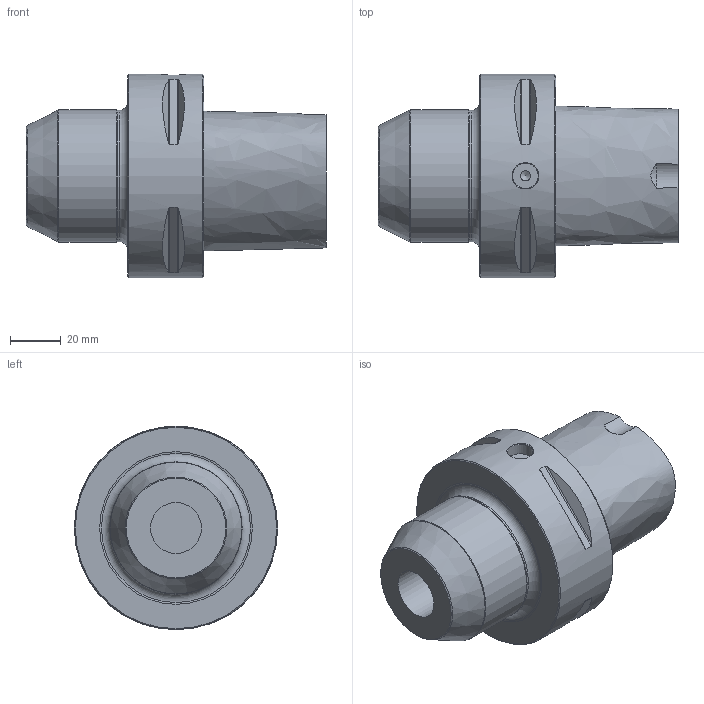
import math

import cadquery as cq


flange_diameter = 80.0
flange_length = 30.0
flange_chamfer = 0.4
nose_diameter = 52.0
nose_length = 40.0
nose_tip_diameter = 40.0
nose_taper_length = 12.75
nose_tip_chamfer = 0.4
nose_shoulder_radius = 0.8

undercut_depth = 0.1
undercut_radius = 3.4
undercut_nose_start = 4.4
nose_ramp_angle = 15.0
face_ramp_angle = 8.0

bore_diameter = 20.0
bore_depth = 51.0

shank_length = 48.0
shank_mean_diameter = 55.0
shank_eccentricity = 2.0
shank_taper = 1.0 / 20.0
shank_curve_points = 72

slot_count = 4
slot_first_angle = 45.0
slot_center_x = -12.0
slot_floor_distance = 35.65
slot_floor_width = 3.6
slot_wall_angle = 30.0
slot_corner_radius = 0.6
slot_mouth_clearance = 1.0

pocket_diameter = 10.0
pocket_depth = 5.0
pocket_chamfer = 0.25
dimple_diameter = 4.0
dimple_point_angle = 118.0

keyway_radius = 7.0
keyway_length = 8.4
keyway_axis_height = 29.3
keyway_end_angle = 45.0

flange_radius = flange_diameter / 2
nose_radius = nose_diameter / 2
flange_front_x = -flange_length
nose_front_x = flange_front_x - nose_length


def turned_body():
    """Nose, undercut and flange, revolved about X."""
    tip_radius = nose_tip_diameter / 2

    undercut_floor = nose_radius - undercut_depth
    undercut_face_x = flange_front_x + undercut_depth
    arc_center_x = undercut_face_x - undercut_radius
    arc_center_radius = undercut_floor + undercut_radius
    diagonal = undercut_radius * math.sqrt(0.5)

    nose_ramp_x = flange_front_x - undercut_nose_start
    nose_ramp_length = undercut_depth / math.tan(math.radians(nose_ramp_angle))
    face_ramp_height = undercut_depth / math.tan(math.radians(face_ramp_angle))

    taper_angle = math.atan2(nose_radius - tip_radius, nose_taper_length - nose_tip_chamfer)
    shoulder_center_radius = nose_radius - nose_shoulder_radius
    shoulder_end_x = nose_front_x + nose_taper_length + nose_shoulder_radius * math.tan(taper_angle / 2)

    def shoulder_point(angle):
        x = shoulder_end_x - nose_shoulder_radius * math.sin(angle)
        return x, shoulder_center_radius + nose_shoulder_radius * math.cos(angle)

    return (
        cq.Workplane("XY")
        .moveTo(nose_front_x, 0)
        .lineTo(nose_front_x, tip_radius - nose_tip_chamfer)
        .lineTo(nose_front_x + nose_tip_chamfer, tip_radius)
        .lineTo(*shoulder_point(taper_angle))
        .threePointArc(shoulder_point(taper_angle / 2), shoulder_point(0))
        .lineTo(nose_ramp_x, nose_radius)
        .lineTo(nose_ramp_x + nose_ramp_length, undercut_floor)
        .lineTo(arc_center_x, undercut_floor)
        .threePointArc(
            (arc_center_x + diagonal, arc_center_radius - diagonal),
            (undercut_face_x, arc_center_radius),
        )
        .lineTo(flange_front_x, arc_center_radius + face_ramp_height)
        .lineTo(flange_front_x, flange_radius - flange_chamfer)
        .lineTo(flange_front_x + flange_chamfer, flange_radius)
        .lineTo(-flange_chamfer, flange_radius)
        .lineTo(0, flange_radius - flange_chamfer)
        .lineTo(0, 0)
        .close()
        .revolve(360, (0, 0, 0), (1, 0, 0))
    )


def shank_section(x):
    """Three-lobed outline of constant width at station x, one lobe pointing to -Z."""
    mean_radius = (shank_mean_diameter - shank_taper * x) / 2

    def outline_point(fraction):
        angle = 2 * math.pi * fraction
        support = mean_radius + shank_eccentricity * math.cos(3 * angle)
        support_rate = -3 * shank_eccentricity * math.sin(3 * angle)
        y = support * math.sin(angle) + support_rate * math.cos(angle)
        z = -support * math.cos(angle) + support_rate * math.sin(angle)
        return y, z

    points = [outline_point(i / shank_curve_points) for i in range(shank_curve_points)]
    return cq.Workplane("YZ", origin=(x, 0, 0)).spline(points, periodic=True).wire().val()


def shank():
    sections = [shank_section(0), shank_section(shank_length)]
    return cq.Workplane(obj=cq.Solid.makeLoft(sections, True))


def bore():
    return cq.Workplane("YZ", origin=(nose_front_x, 0, 0)).circle(bore_diameter / 2).extrude(bore_depth)


def gripper_slot(angle):
    """Straight slot with sloping walls, cut across the flange rim at the given angle about X."""
    height = flange_radius - slot_floor_distance + slot_mouth_clearance
    half_floor = slot_floor_width / 2
    half_mouth = half_floor + height * math.tan(math.radians(slot_wall_angle))
    return (
        cq.Workplane("XZ", origin=(slot_center_x, 0, slot_floor_distance))
        .polyline([(-half_floor, 0), (half_floor, 0), (half_mouth, height), (-half_mouth, height)])
        .close()
        .extrude(flange_radius, both=True)
        .edges("|Y and <Z")
        .fillet(slot_corner_radius)
        .rotate((0, 0, 0), (1, 0, 0), angle)
    )


def stepped_hole():
    """Flat-bottomed radial pocket with a conical dimple in its floor."""
    floor_z = flange_radius - pocket_depth
    pocket_radius = pocket_diameter / 2
    dimple_radius = dimple_diameter / 2
    dimple_depth = dimple_radius / math.tan(math.radians(dimple_point_angle / 2))
    mouth_radius = pocket_radius + pocket_chamfer
    return (
        cq.Workplane("XZ", origin=(slot_center_x, 0, 0))
        .moveTo(0, floor_z - dimple_depth)
        .lineTo(dimple_radius, floor_z)
        .lineTo(pocket_radius, floor_z)
        .lineTo(pocket_radius, flange_radius - 2 * pocket_chamfer)
        .lineTo(mouth_radius, flange_radius - pocket_chamfer)
        .lineTo(mouth_radius, flange_radius)
        .lineTo(0, flange_radius)
        .close()
        .revolve(360, (0, 0, 0), (0, 1, 0))
    )


def keyway():
    """Axial groove with a conical inner end, open along the flat side of the shank."""
    start_x = shank_length - keyway_length
    end_length = keyway_radius / math.tan(math.radians(keyway_end_angle))
    return (
        cq.Workplane("XZ", origin=(0, 0, keyway_axis_height))
        .moveTo(start_x - end_length, 0)
        .lineTo(start_x, keyway_radius)
        .lineTo(shank_length, keyway_radius)
        .lineTo(shank_length, 0)
        .close()
        .revolve(360, (0, 0, 0), (1, 0, 0))
    )


result = turned_body().union(shank()).cut(bore()).cut(stepped_hole()).cut(keyway())
for index in range(slot_count):
    result = result.cut(gripper_slot(slot_first_angle + index * 360 / slot_count))